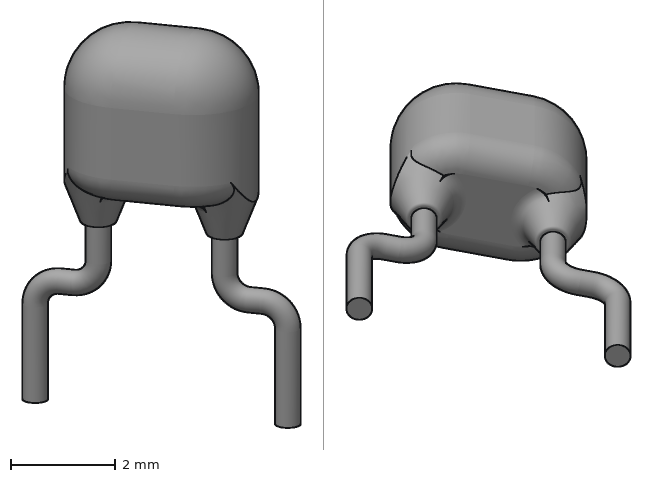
import cadquery as cq
import math

body_depth = 2.54
lead_pitch_top = body_depth
end_radius = body_depth / 2
body_width = lead_pitch_top / 2 + body_depth
top_z = 7.78
body_bottom_z = 4.48
bottom_edge_radius = 0.575

collar_bottom_z = 3.72
collar_bottom_radius = 0.34
collar_edge_radius = 0.06
collar_blend_radius = 0.25
collar_root_radius = 0.64
blend_overlap = 0.08
collar_slope = (collar_root_radius - collar_bottom_radius) / (body_bottom_z - collar_bottom_z)
collar_hidden_top_z = body_bottom_z + bottom_edge_radius

wire_diameter = 0.5
lead_pitch_bottom = 5.08
bend_radius = 0.5
jog_z = 2.44


def make_rounded_body():
    """Stadium-shaped block with a fully domed top and a rounded bottom edge."""
    dome_base_z = top_z - end_radius
    block = (
        make_outline(0, body_bottom_z, dome_base_z - body_bottom_z)
        .faces("<Z")
        .edges()
        .fillet(bottom_edge_radius)
    )
    half_flat = body_width / 2 - end_radius
    dome = (
        cq.Workplane("XY")
        .moveTo(-half_flat - end_radius, 0)
        .threePointArc(
            (-half_flat - end_radius * math.sqrt(0.5), end_radius * math.sqrt(0.5)),
            (-half_flat, end_radius),
        )
        .lineTo(half_flat, end_radius)
        .threePointArc(
            (half_flat + end_radius * math.sqrt(0.5), end_radius * math.sqrt(0.5)),
            (half_flat + end_radius, 0),
        )
        .close()
        .revolve(180, (0, 0), (1, 0))
        .translate((0, 0, dome_base_z))
    )
    return block.union(dome)


def make_outline(inset, bottom_z, height):
    """Upright prism following the body's stadium outline, moved inward by inset."""
    return (
        cq.Workplane("XY")
        .workplane(offset=bottom_z)
        .slot2D(body_width - 2 * inset, body_depth - 2 * inset)
        .extrude(height)
    )


def make_collar(side):
    """Cone that widens upward, trimmed to the outline of the body."""
    height = collar_hidden_top_z - collar_bottom_z
    hidden_top_radius = collar_bottom_radius + collar_slope * height
    cone = (
        cq.Workplane("XZ")
        .moveTo(0, collar_bottom_z)
        .lineTo(collar_bottom_radius, collar_bottom_z)
        .lineTo(hidden_top_radius, collar_hidden_top_z)
        .lineTo(0, collar_hidden_top_z)
        .close()
        .revolve(360, (0, 0), (0, 1))
        .faces("<Z")
        .edges()
        .fillet(collar_edge_radius)
        .translate((side * lead_pitch_top / 2, 0, 0))
    )
    return cone.intersect(make_outline(0, collar_bottom_z, height))


def make_collar_blend(side):
    """Hollow-curved ring in the corner between a collar and the flat underside of the body."""
    half_turn = (math.pi / 2 - math.atan(collar_slope)) / 2
    tangent_length = collar_blend_radius * math.tan(half_turn)
    cone_z = body_bottom_z - tangent_length * math.sin(2 * half_turn)
    cone_radius = collar_root_radius - tangent_length * math.cos(2 * half_turn)
    rim_radius = collar_root_radius + tangent_length
    centre_z = body_bottom_z - collar_blend_radius
    arc_mid = (
        rim_radius - collar_blend_radius * math.sin(half_turn),
        centre_z + collar_blend_radius * math.cos(half_turn),
    )
    ring = (
        cq.Workplane("XZ")
        .moveTo(0, cone_z)
        .lineTo(cone_radius, cone_z)
        .threePointArc(arc_mid, (rim_radius, body_bottom_z))
        .lineTo(rim_radius, body_bottom_z + blend_overlap)
        .lineTo(0, body_bottom_z + blend_overlap)
        .close()
        .revolve(360, (0, 0), (0, 1))
        .translate((side * lead_pitch_top / 2, 0, 0))
    )
    flat_underside = make_outline(bottom_edge_radius, collar_bottom_z, collar_hidden_top_z - collar_bottom_z)
    return ring.intersect(flat_underside)


def make_body():
    body = make_rounded_body()
    for side in (-1, 1):
        body = body.union(make_collar(side)).union(make_collar_blend(side))
    return body


def make_lead(side):
    """Wire that leaves the collar, jogs outward through two bends and runs down to z = 0."""
    inner_x = side * lead_pitch_top / 2
    outer_x = side * lead_pitch_bottom / 2
    bend_mid = bend_radius * (1 - math.sqrt(0.5))
    path = (
        cq.Workplane("XZ")
        .moveTo(inner_x, collar_bottom_z)
        .lineTo(inner_x, jog_z + bend_radius)
        .threePointArc(
            (inner_x + side * bend_mid, jog_z + bend_mid),
            (inner_x + side * bend_radius, jog_z),
        )
        .lineTo(outer_x - side * bend_radius, jog_z)
        .threePointArc(
            (outer_x - side * bend_mid, jog_z - bend_mid),
            (outer_x, jog_z - bend_radius),
        )
        .lineTo(outer_x, 0)
    )
    return (
        cq.Workplane("XY", origin=(inner_x, 0, collar_bottom_z))
        .circle(wire_diameter / 2)
        .sweep(path)
    )


body = make_body()
leads = [make_lead(side) for side in (-1, 1)]

result = cq.Compound.makeCompound([body.val(), *[lead.val() for lead in leads]])